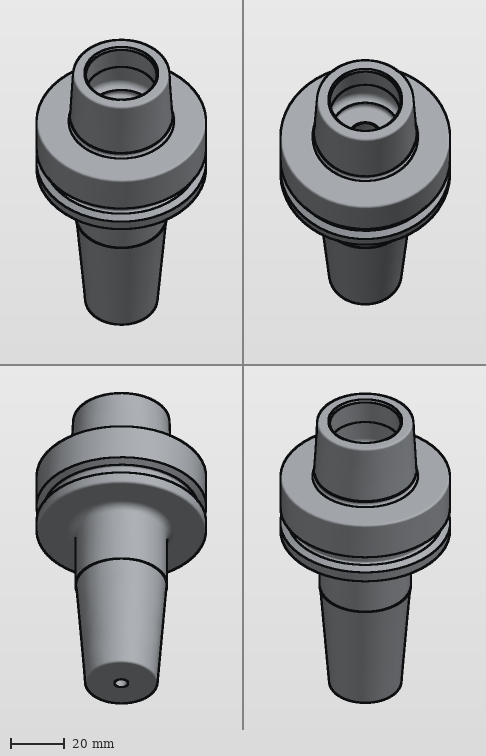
import cadquery as cq
import math

overall_length = 120.0

flange_diameter = 63.0
flange_height = 26.0
flange_top_fillet = 0.8
flange_bottom_fillet = 1.0
groove_top = -14.5
groove_bottom = -21.5
groove_floor_radius = 27.7
groove_floor_fillet = 0.6
groove_flank_width = 2.6
groove_flank_angle = 30.0

spigot_length = 25.0
spigot_tip_radius = 17.9
spigot_tip_fillet = 0.8
spigot_taper = 1 / 10
spigot_root_height = 2.2

neck_radius = 18.6
neck_top = 1.5
neck_fillet = 1.0
neck_fillet_top = 0.7
relief_outer_radius = 20.4

shank_radius = 17.0
shank_fillet = 3.0
nose_start = -50.3
nose_start_radius = 16.8
nose_tip_radius = 13.5
nose_tip_fillet = 0.8

lip_radius = 13.1
lip_depth = 10.0
mouth_chamfer_width = 0.6
mouth_chamfer_depth = 1.0
chamber_radius = 16.0
chamber_depth = 22.1
chamber_floor_fillet = 2.4
seat_radius = 13.0
seat_depth = 2.4
seat_floor_fillet = 1.2

counterbore_radius = 5.6
counterbore_chamfer = 0.2
counterbore_depth = 7.2
drill_cone_radius = 5.0
drill_cone_angle = 30.0
through_radius = 2.5

spigot_top = spigot_length
spigot_root_radius = spigot_tip_radius + (spigot_top - spigot_root_height) * spigot_taper / 2
nose_tip = spigot_top - overall_length
flange_radius = flange_diameter / 2
flange_bottom = -flange_height


def revolve_profile(profile):
    """Close a half profile in the XZ plane and turn it about the Z axis."""
    return profile.close().revolve(360, (0, 0, 0), (0, 1, 0))


def make_blank():
    """Solid turned body without the groove, the edge fillets or the bore."""
    relief_floor_radius = neck_radius + neck_fillet
    relief_floor = neck_fillet_top - neck_fillet
    profile = (
        cq.Workplane("XZ")
        .moveTo(0, nose_tip)
        .lineTo(nose_tip_radius, nose_tip)
        .lineTo(nose_start_radius, nose_start)
        .lineTo(shank_radius, nose_start)
        .lineTo(shank_radius, flange_bottom - shank_fillet)
        .radiusArc((shank_radius + shank_fillet, flange_bottom), shank_fillet)
        .lineTo(flange_radius, flange_bottom)
        .lineTo(flange_radius, 0)
        .lineTo(relief_outer_radius, 0)
        .lineTo(relief_floor_radius, relief_floor)
        .radiusArc((neck_radius, neck_fillet_top), neck_fillet)
        .lineTo(neck_radius, neck_top)
        .lineTo(spigot_root_radius, spigot_root_height)
        .lineTo(spigot_tip_radius, spigot_top)
        .lineTo(0, spigot_top)
    )
    return revolve_profile(profile)


def fillet_rim(body, radius, height, fillet):
    """Round the circular edge of the given radius at the given height."""
    margin = 0.01
    box = cq.selectors.BoxSelector(
        (-radius - margin, -radius - margin, height - margin),
        (radius + margin, radius + margin, height + margin),
        boundingbox=True,
    )
    rim = cq.selectors.RadiusNthSelector(-1)
    return body.edges(box).edges(rim).fillet(fillet)


def make_groove():
    """Ring that cuts the gripper groove: sloped flanks, flat shoulders, filleted floor."""
    flank_height = groove_flank_width * math.tan(math.radians(groove_flank_angle))
    shoulder_radius = flange_radius - groove_flank_width
    upper_shoulder = groove_top - flank_height
    lower_shoulder = groove_bottom + flank_height
    fillet_end_radius = groove_floor_radius + groove_floor_fillet
    profile = (
        cq.Workplane("XZ")
        .moveTo(flange_radius, groove_bottom)
        .lineTo(shoulder_radius, lower_shoulder)
        .lineTo(fillet_end_radius, lower_shoulder)
        .radiusArc((groove_floor_radius, lower_shoulder + groove_floor_fillet), groove_floor_fillet)
        .lineTo(groove_floor_radius, upper_shoulder - groove_floor_fillet)
        .radiusArc((fillet_end_radius, upper_shoulder), groove_floor_fillet)
        .lineTo(shoulder_radius, upper_shoulder)
        .lineTo(flange_radius, groove_top)
    )
    return revolve_profile(profile)


def make_bore():
    """Clamping bore, chamber, seat and coolant hole as one turned cutter."""
    lip_bottom = spigot_top - lip_depth
    chamber_floor = spigot_top - chamber_depth
    seat_floor = chamber_floor - seat_depth
    counterbore_floor = seat_floor - counterbore_depth
    drill_cone_height = (drill_cone_radius - through_radius) * math.tan(math.radians(drill_cone_angle))
    profile = (
        cq.Workplane("XZ")
        .moveTo(0, spigot_top)
        .lineTo(lip_radius + mouth_chamfer_width, spigot_top)
        .lineTo(lip_radius, spigot_top - mouth_chamfer_depth)
        .lineTo(lip_radius, lip_bottom)
        .lineTo(chamber_radius, lip_bottom)
        .lineTo(chamber_radius, chamber_floor + chamber_floor_fillet)
        .radiusArc((chamber_radius - chamber_floor_fillet, chamber_floor), chamber_floor_fillet)
        .lineTo(seat_radius, chamber_floor)
        .lineTo(seat_radius, seat_floor + seat_floor_fillet)
        .radiusArc((seat_radius - seat_floor_fillet, seat_floor), seat_floor_fillet)
        .lineTo(counterbore_radius + counterbore_chamfer, seat_floor)
        .lineTo(counterbore_radius, seat_floor - counterbore_chamfer)
        .lineTo(counterbore_radius, counterbore_floor)
        .lineTo(drill_cone_radius, counterbore_floor)
        .lineTo(through_radius, counterbore_floor - drill_cone_height)
        .lineTo(through_radius, nose_tip)
        .lineTo(0, nose_tip)
    )
    return revolve_profile(profile)


body = make_blank()
body = fillet_rim(body, spigot_tip_radius, spigot_top, spigot_tip_fillet)
body = fillet_rim(body, flange_radius, 0, flange_top_fillet)
body = fillet_rim(body, flange_radius, flange_bottom, flange_bottom_fillet)
body = fillet_rim(body, nose_tip_radius, nose_tip, nose_tip_fillet)
result = body.cut(make_groove()).cut(make_bore())